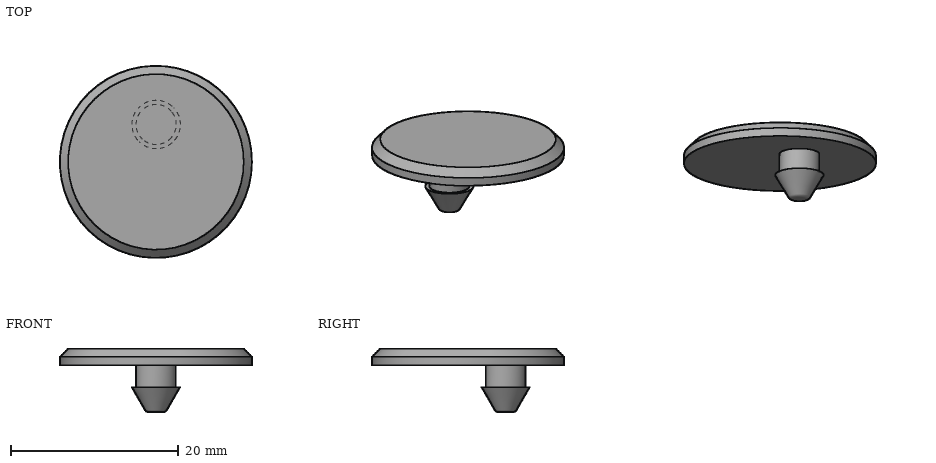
import cadquery as cq
import math

disc_diameter = 23.0
disc_thickness = 2.0
rim_chamfer = 1.0

pin_offset_y = 4.5
stem_diameter = 4.8
stem_length = 2.6
barb_diameter = 5.8
barb_length = 3.0
barb_half_angle = 30.0
tip_fillet = 0.5


def make_disc():
    """Round cover with its underside on Z = 0 and a chamfered top rim."""
    disc = cq.Workplane("XY").circle(disc_diameter / 2).extrude(disc_thickness)
    return disc.faces(">Z").edges().chamfer(rim_chamfer)


def make_pin():
    """Stem with a tapered barb and a rounded tip, revolved about its own axis."""
    barb_z = -stem_length
    tip_z = barb_z - barb_length
    tip_radius = barb_diameter / 2 - barb_length * math.tan(math.radians(barb_half_angle))
    profile = (
        cq.Workplane("XZ")
        .moveTo(0, 0)
        .lineTo(stem_diameter / 2, 0)
        .lineTo(stem_diameter / 2, barb_z)
        .lineTo(barb_diameter / 2, barb_z)
        .lineTo(tip_radius, tip_z)
        .lineTo(0, tip_z)
        .close()
    )
    pin = profile.revolve(360, (0, 0, 0), (0, 1, 0))
    pin = pin.faces("<Z").edges().fillet(tip_fillet)
    return pin.translate((0, pin_offset_y, 0))


result = make_disc().union(make_pin())